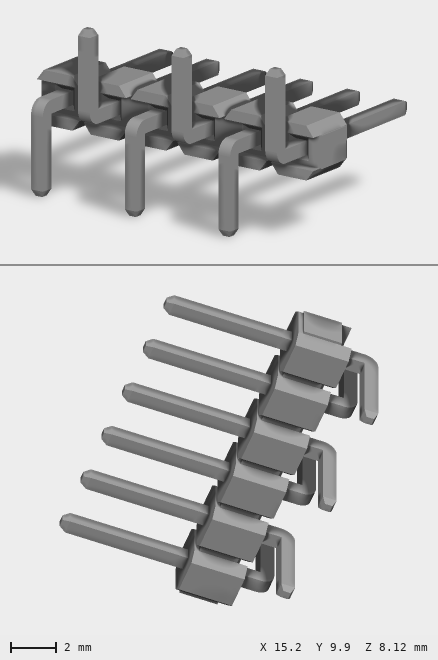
import cadquery as cq

pin_count = 6
body_length = 15.24
pitch = body_length / pin_count

pin_width = 0.64
pin_length = 9.9
leg_span = 8.12
tip_length = 0.3
tip_width = 0.35

segment_depth = 2.5
segment_height = 2.51
segment_width = 2.3
segment_top_width = 1.54
bar_height = 1.52
bar_depth = 1.78
front_recess = 0.5

pocket_width = 1.07
pocket_depth = 0.21

segment_front = 1.57
bar_front = segment_front + front_recess
leg_center = pin_width / 2


def box_from_front(width, front, depth, height):
    """Box centred on X and Z, reaching back from the given front face."""
    return cq.Workplane("XY").box(width, depth, height).translate((0, front + depth / 2, 0))


def make_segment():
    """Bevelled plastic block with a groove along X in its front."""
    half_width = segment_width / 2
    half_top = segment_top_width / 2
    half_height = segment_height / 2
    half_side = bar_height / 2
    block = (
        cq.Workplane("XZ", origin=(0, segment_front, 0))
        .moveTo(-half_top, half_height)
        .lineTo(half_top, half_height)
        .lineTo(half_width, half_side)
        .lineTo(half_width, -half_side)
        .lineTo(half_top, -half_height)
        .lineTo(-half_top, -half_height)
        .lineTo(-half_width, -half_side)
        .lineTo(-half_width, half_side)
        .close()
        .extrude(-segment_depth)
    )
    return block.cut(box_from_front(segment_width, segment_front, front_recess, bar_height))


def make_pocket():
    """Square funnel narrowing from the bar's front face down to the pin."""
    return (
        cq.Workplane("XZ", origin=(0, bar_front, 0))
        .rect(pocket_width, pocket_width)
        .workplane(offset=-pocket_depth)
        .rect(pin_width, pin_width)
        .loft(ruled=True)
    )


def make_tip(plane):
    """Tapered pin end, starting at the given plane and growing along its normal."""
    return (
        cq.Workplane(plane)
        .rect(pin_width, pin_width)
        .workplane(offset=tip_length)
        .rect(tip_width, tip_width)
        .loft(ruled=True)
    )


def make_pin():
    """Pin with its leg bent down: sharp inside corner, round outside corner."""
    half = pin_width / 2
    back_end = pin_length - tip_length
    leg_end = -leg_span / 2 + tip_length
    shank = (
        cq.Workplane("YZ", origin=(-half, 0, 0))
        .moveTo(back_end, half)
        .lineTo(pin_width, half)
        .radiusArc((0, -half), -pin_width)
        .lineTo(0, leg_end)
        .lineTo(pin_width, leg_end)
        .lineTo(pin_width, -half)
        .lineTo(back_end, -half)
        .close()
        .extrude(pin_width)
    )
    back_plane = cq.Plane(origin=(0, back_end, 0), xDir=(1, 0, 0), normal=(0, 1, 0))
    leg_plane = cq.Plane(origin=(0, leg_center, leg_end), xDir=(1, 0, 0), normal=(0, 0, -1))
    return shank.union(make_tip(back_plane)).union(make_tip(leg_plane))


segment = make_segment()
pocket = make_pocket()
pin_down = make_pin()
pin_up = pin_down.mirror("XY")
pin_positions = [(i - (pin_count - 1) / 2) * pitch for i in range(pin_count)]

result = box_from_front(body_length, bar_front, bar_depth, bar_height)
for x in pin_positions:
    result = result.union(segment.translate((x, 0, 0)))
    result = result.cut(pocket.translate((x, 0, 0)))

for i, x in enumerate(pin_positions):
    pin = pin_down if i % 2 == 0 else pin_up
    result = result.union(pin.translate((x, 0, 0)))